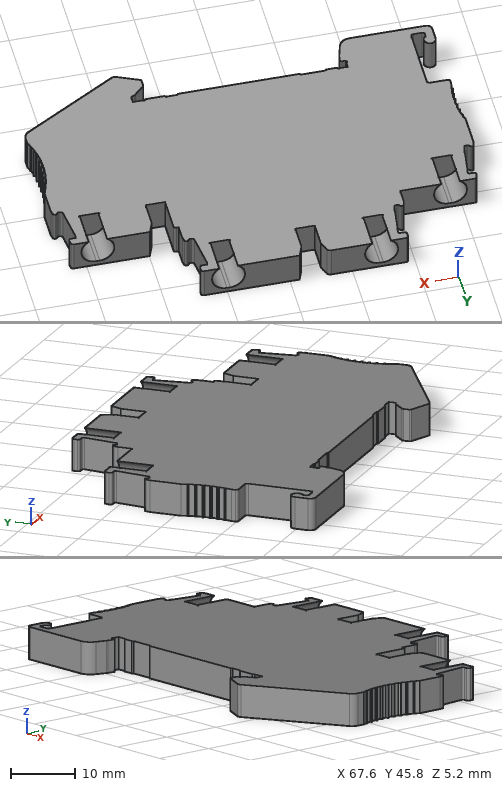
import cadquery as cq
import math

length = 67.6
height = 45.8
thickness = 5.2

lower_top = 35.3
upper_axis = 31.4
lower_axis = length / 2
upper_lip_reach = 16.55
lower_lip_reach = 32.65

lip_thickness = 1.35
lip_length = 1.35
lip_round = 0.4
lower_lip_lean = 0.3
neck_round = 0.3
neck_height = 6.2
neck_lean = 0.8

nub_setout = 1.7
nub_width = 0.7
nub_base = 1.0
nub_height = 0.4
nub_lean = 0.2
nub_lean_height = 1.0
nub_round = 0.35
nub_inner_round = 0.2
wall_beyond_lip = neck_lean - lip_length + nub_setout
upper_wall_reach = upper_lip_reach + wall_beyond_lip

cut_depth = 6.0
notch_width = 3.1
notch_flare = 0.75
notch_flare_height = 1.9
notch_edge_round = 0.7
notch_wall_round = 0.35
upper_notch_left = 28.4
lower_notch_left = 49.8
channel_opening = 3.0
channel_flat = 0.55
channel_radius = 2.35
upper_channel_offset = 12.25
lower_channel_offset = 28.2

grip_y = 17.25
rib_pitch = 1.2
rib_base = 0.5
rib_crest = 0.15
left_grip_half = 4.7
left_grip_depth = 0.75
left_crest_depth = 0.5
left_rib_steps = range(-2, 4)
right_grip_half = 5.75
right_grip_depth = 1.2
right_crest_depth = 0.8
right_rib_steps = range(-4, 5)

hook_left = 0.35
ledge_y = 12.65
slit_right = 3.9
slit_floor = 1.4
slit_round = 0.4
hook_ball_radius = 0.95
hook_ball_y = 3.1
hook_neck_x = 1.75
rail_y = 6.2
rail_left = 15.15
rail_right = 49.5
undercut_y = 5.1
foot_round = 0.95
heel_x = 14.9
heel_round = 1.95
toe_bend_x = 15.8
toe_bend_y = 3.3
toe_round = 2.0
toe_x = 16.0
toe_top = 4.8
toe_edge_round = 0.2
undercut = 0.2
claw_left = 47.05
claw_low = 1.7
claw_high = 3.05
claw_round = 0.35
throat_x = 48.8
throat_y = 4.7
throat_round = 0.7
tip_x = 51.1
tip_drop = 0.1
tip_round = 0.9
slope_angle = math.radians(30)
slope_round = 1.35
pad_height = 0.2
pad_bevel = 0.3
rail_pads = [(16.6, 18.8), (22.6, 42.45), (44.15, 47.65)]


def rounded_outline(corners):
    """Closed wire through (x, y, radius) corners; a radius of zero leaves a sharp corner."""
    path = []
    count = len(corners)
    for i, (x, y, radius) in enumerate(corners):
        here = cq.Vector(x, y)
        if radius == 0:
            path.append((here,))
            continue
        before = cq.Vector(*corners[i - 1][:2])
        after = cq.Vector(*corners[(i + 1) % count][:2])
        back = (before - here).normalized()
        ahead = (after - here).normalized()
        half_angle = back.getAngle(ahead) / 2
        setback = radius / math.tan(half_angle)
        to_center = radius / math.sin(half_angle)
        middle = here + (back + ahead).normalized() * (to_center - radius)
        path.append((here + back * setback, middle, here + ahead * setback))
    outline = cq.Workplane("XY").moveTo(path[0][-1].x, path[0][-1].y)
    for stop in path[1:] + path[:1]:
        outline = outline.lineTo(stop[0].x, stop[0].y)
        if len(stop) == 3:
            outline = outline.threePointArc(stop[1].toTuple()[:2], stop[2].toTuple()[:2])
    return outline.close()


def tier_corners(axis, side, reach, top, tip_lean):
    """Corners of one tier end: up its side wall, over the nub, up the leaning neck and round the lip."""
    under = top - lip_thickness
    neck_top = reach - lip_length
    neck_foot = neck_top + neck_lean
    foot_y = under - neck_height
    wall = neck_foot + nub_setout
    profile = [
        (wall, foot_y + nub_height - nub_lean_height, 0),
        (wall - nub_lean, foot_y + nub_height, nub_round),
        (wall - nub_width, foot_y + nub_height, nub_inner_round),
        (wall - nub_base, foot_y, nub_inner_round),
        (neck_foot, foot_y, lip_round),
        (neck_top, under, neck_round),
        (reach, under, lip_round),
        (reach - tip_lean, top, lip_round),
    ]
    return [(axis + side * x, y, radius) for x, y, radius in profile]


def body():
    """Plate with the full stepped outline, the hook ball and the pads that rest on the rail."""
    upper_left = tier_corners(upper_axis, -1, upper_lip_reach, height, 0)
    upper_right = tier_corners(upper_axis, 1, upper_lip_reach, height, 0)
    lower_left = tier_corners(lower_axis, -1, lower_lip_reach, lower_top, lower_lip_lean)
    lower_right = tier_corners(lower_axis, 1, lower_lip_reach, lower_top, lower_lip_lean)
    slope_top = (length - tip_x) * math.tan(slope_angle) - tip_drop

    left_side = [
        (hook_left, ledge_y, slit_round),
        (hook_left, grip_y, 0),
        (0, grip_y, 0),
    ]
    left_step = [(upper_axis - upper_wall_reach, lower_top, 0)]
    right_step = [
        (upper_axis + upper_wall_reach, lower_top, 0),
        (lower_notch_left, lower_top, notch_wall_round),
        (lower_notch_left, lower_top - cut_depth, 0),
        (lower_notch_left + notch_width, lower_top - cut_depth, 0),
        (lower_notch_left + notch_width, lower_top - notch_flare_height, 0),
        (lower_notch_left + notch_width + notch_flare, lower_top, 0),
    ]
    upper_notch = [
        (upper_notch_left - notch_flare, height, notch_edge_round),
        (upper_notch_left, height - notch_flare_height, 0),
        (upper_notch_left, height - cut_depth, 0),
        (upper_notch_left + notch_width, height - cut_depth, 0),
        (upper_notch_left + notch_width, height - notch_flare_height, 0),
        (upper_notch_left + notch_width + notch_flare, height, 0),
    ]
    right_side = [(length, slope_top, slope_round)]
    claw = [
        (tip_x, -tip_drop, tip_round),
        (claw_left, claw_low, claw_round),
        (claw_left, claw_high, claw_round),
        (throat_x, throat_y, throat_round),
        (rail_right, undercut_y, 0),
        (rail_right, rail_y, 0),
    ]
    fixed_foot = [
        (rail_left, rail_y, 0),
        (rail_left, undercut_y, 0),
        (rail_left - undercut, undercut_y, 0),
        (rail_left, toe_top, 0),
        (toe_x, toe_top, toe_edge_round),
        (toe_bend_x, toe_bend_y, toe_round),
        (heel_x, 0, heel_round),
        (hook_left, 0, foot_round),
        (hook_left, hook_ball_y, 0),
        (hook_neck_x, hook_ball_y, 0),
        (hook_neck_x, slit_floor, slit_round),
        (slit_right, slit_floor, slit_round),
        (slit_right, ledge_y, slit_round),
    ]
    corners = left_side + lower_left + left_step + upper_left + upper_notch
    corners += upper_right[::-1] + right_step + lower_right[::-1] + right_side + claw + fixed_foot
    plate = rounded_outline(corners).extrude(thickness)

    hook_ball = (
        cq.Workplane("XY")
        .center(hook_left + hook_ball_radius, hook_ball_y)
        .circle(hook_ball_radius)
        .extrude(thickness)
    )
    plate = plate.union(hook_ball)
    for start, end in rail_pads:
        pad_outline = [
            (start, rail_y),
            (start + pad_bevel, rail_y - pad_height),
            (end - pad_bevel, rail_y - pad_height),
            (end, rail_y),
            (end, rail_y + pad_height),
            (start, rail_y + pad_height),
        ]
        plate = plate.union(cq.Workplane("XY").polyline(pad_outline).close().extrude(thickness))
    return plate


def hollow_radius(depth, half_height):
    """Radius of the arc that sinks to the given depth over a chord of twice the half height."""
    return (half_height**2 + depth**2) / (2 * depth)


def rib(side_x, inward, floor_depth, crest_depth, y):
    """Tapered rib with a blunt crest, rooted at the deepest level of its grip."""
    root_x = side_x + inward * floor_depth
    crest_x = side_x + inward * crest_depth
    section = [
        (root_x, y - rib_base / 2),
        (crest_x, y - rib_crest / 2),
        (crest_x, y + rib_crest / 2),
        (root_x, y + rib_base / 2),
    ]
    return cq.Workplane("XY").polyline(section).close().extrude(thickness)


def grip(side_x, inward, floor_depth, top_depth, half_height, rib_steps):
    """Cutter for a concave grip, leaving ribs whose crests follow a shallower arc."""
    floor_radius = hollow_radius(floor_depth, half_height)
    crest_radius = hollow_radius(top_depth, half_height)
    center_x = side_x + inward * (floor_depth - floor_radius)
    cutter = cq.Workplane("XY").center(center_x, grip_y).circle(floor_radius).extrude(thickness)
    for step in rib_steps:
        offset = step * rib_pitch
        crest_depth = top_depth - crest_radius + math.sqrt(crest_radius**2 - offset**2)
        cutter = cutter.cut(rib(side_x, inward, floor_depth, crest_depth, grip_y + offset))
    return cutter


def wire_channel(center_x, top):
    """Round-walled channel with a flat floor, narrowing towards its opening in the Z-max face."""
    rise = math.sqrt(channel_radius**2 - ((channel_opening - channel_flat) / 2) ** 2)
    return (
        cq.Workplane("XZ", origin=(center_x, top, thickness - rise))
        .slot2D(2 * channel_radius + channel_flat, 2 * channel_radius)
        .extrude(cut_depth)
    )


result = body()
result = result.cut(grip(0, 1, left_grip_depth, left_crest_depth, left_grip_half, left_rib_steps))
result = result.cut(grip(length, -1, right_grip_depth, right_crest_depth, right_grip_half, right_rib_steps))
for side in (-1, 1):
    result = result.cut(wire_channel(upper_axis + side * upper_channel_offset, height))
    result = result.cut(wire_channel(lower_axis + side * lower_channel_offset, lower_top))